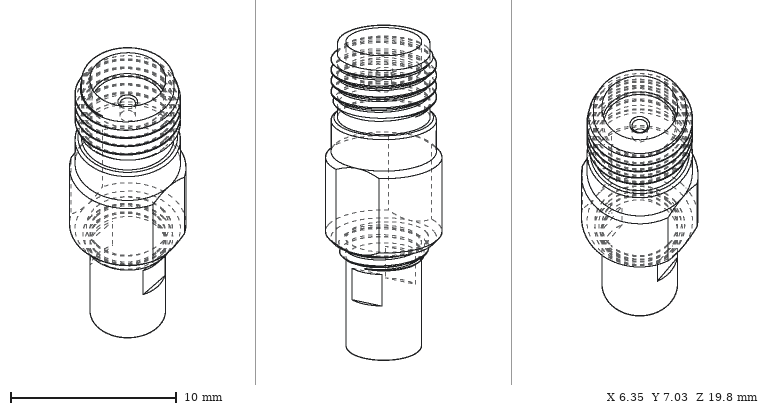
import cadquery as cq

total_height = 19.81
barrel_diameter = 4.58
barrel_top = 5.85
barrel_edge_radius = 0.12

body_diameter = 7.03
body_width = 6.35
body_bottom = 7.11
body_top = 12.68
body_bottom_chamfer = 0.38
body_top_chamfer = 0.35

shoulder_top = 14.9
shoulder_chamfer = 0.18

neck_diameter = 5.59
neck_edge_radius = 0.12
neck_thread_diameter = 6.35
neck_thread_bottom = 15.73
neck_thread_top = 19.05
neck_thread_pitch = 2.81 / 4
neck_thread_phase = 18.1

barrel_thread_diameter = 5.43
barrel_thread_pitch = 1.25 / 2
barrel_thread_phase = 6.26

root_flat = 0.12
crest_width = 0.08
root_overlap = 0.05

flat_spacing = 4.08
flat_bottom = 3.57
flat_height = 2.05

socket_diameter = 4.58
socket_depth = 1.78
socket_floor_chamfer = 0.12
contact_mouth_diameter = 1.19
contact_diameter = 0.93
contact_depth = 1.19


def revolve_outline(points):
    """Turn a closed (radius, height) outline around the Z axis."""
    return cq.Workplane("XZ").polyline(points).close().revolve(360, (0, 0, 0), (0, 1, 0))


def turned_body():
    barrel = barrel_diameter / 2
    body = body_diameter / 2
    shoulder = body_width / 2
    neck = neck_diameter / 2
    blank = revolve_outline([
        (0, 0),
        (barrel, 0),
        (barrel, body_bottom),
        (shoulder, body_bottom),
        (body, body_bottom + body_bottom_chamfer),
        (body, body_top - body_top_chamfer),
        (shoulder, body_top),
        (shoulder, shoulder_top - shoulder_chamfer),
        (shoulder - shoulder_chamfer, shoulder_top),
        (neck, shoulder_top),
        (neck, total_height),
        (0, total_height),
    ])
    blank = blank.faces(">Z").edges().fillet(neck_edge_radius)
    return blank.faces("<Z").edges().fillet(barrel_edge_radius)


def thread_ridge(root_radius, crest_radius, pitch, phase, bottom, top):
    """Right-handed ridge that covers bottom to top, with a crest at height phase on the +X side."""
    turns_below = (phase - bottom) // pitch + 1
    turns_above = (top - phase) // pitch + 1
    start = phase - turns_below * pitch
    length = (turns_below + turns_above) * pitch
    path = cq.Wire.makeHelix(pitch, length, root_radius, cq.Vector(0, 0, start))
    half_root = (pitch - root_flat) / 2
    half_crest = crest_width / 2
    inner_radius = root_radius - root_overlap
    flank_slope = (half_root - half_crest) / (crest_radius - root_radius)
    half_base = half_root + flank_slope * root_overlap
    profile = [
        (inner_radius, start - half_base),
        (crest_radius, start - half_crest),
        (crest_radius, start + half_crest),
        (inner_radius, start + half_base),
    ]
    return cq.Workplane("XZ").polyline(profile).close().sweep(cq.Workplane(path), isFrenet=True)


def neck_thread():
    root = neck_diameter / 2
    crest = neck_thread_diameter / 2
    ridge = thread_ridge(
        root, crest, neck_thread_pitch, neck_thread_phase, neck_thread_bottom, neck_thread_top
    )
    taper = crest - root
    envelope = revolve_outline([
        (0, neck_thread_bottom),
        (root, neck_thread_bottom),
        (crest + root_overlap, neck_thread_bottom + taper + root_overlap),
        (crest + root_overlap, neck_thread_top - taper - root_overlap),
        (root, neck_thread_top),
        (0, neck_thread_top),
    ])
    return ridge.intersect(envelope)


def barrel_thread():
    root = barrel_diameter / 2
    crest = barrel_thread_diameter / 2
    ridge = thread_ridge(
        root, crest, barrel_thread_pitch, barrel_thread_phase, barrel_top, body_bottom
    )
    taper = crest - root
    ridge_top = body_bottom + root_overlap
    envelope = revolve_outline([
        (0, barrel_top),
        (root, barrel_top),
        (crest + root_overlap, barrel_top + taper + root_overlap),
        (crest + root_overlap, ridge_top),
        (0, ridge_top),
    ])
    return ridge.intersect(envelope)


def flat_cutters(spacing, bottom, height):
    """Two blocks that leave a pair of flats, spacing apart along X."""
    stock = body_diameter
    cutters = cq.Workplane("XY")
    for side in (-1, 1):
        block = cq.Workplane("XY").box(stock, 2 * stock, height, centered=(True, True, False))
        cutters = cutters.add(block.translate((side * (spacing + stock) / 2, 0, bottom)))
    return cutters.combine()


def socket():
    """Wide bore with a sloping floor edge and a central contact hole."""
    bore = socket_diameter / 2
    mouth = contact_mouth_diameter / 2
    contact = contact_diameter / 2
    bore_bottom = total_height - socket_depth
    floor = bore_bottom - socket_floor_chamfer
    return revolve_outline([
        (0, total_height),
        (bore, total_height),
        (bore, bore_bottom),
        (bore - socket_floor_chamfer, floor),
        (mouth, floor),
        (contact, floor - (mouth - contact)),
        (contact, floor - contact_depth),
        (0, floor - contact_depth),
    ])


part = turned_body()
part = part.cut(flat_cutters(body_width, body_bottom, body_top - body_bottom))
part = part.cut(flat_cutters(flat_spacing, flat_bottom, flat_height))
part = part.union(neck_thread())
part = part.union(barrel_thread())
result = part.cut(socket())